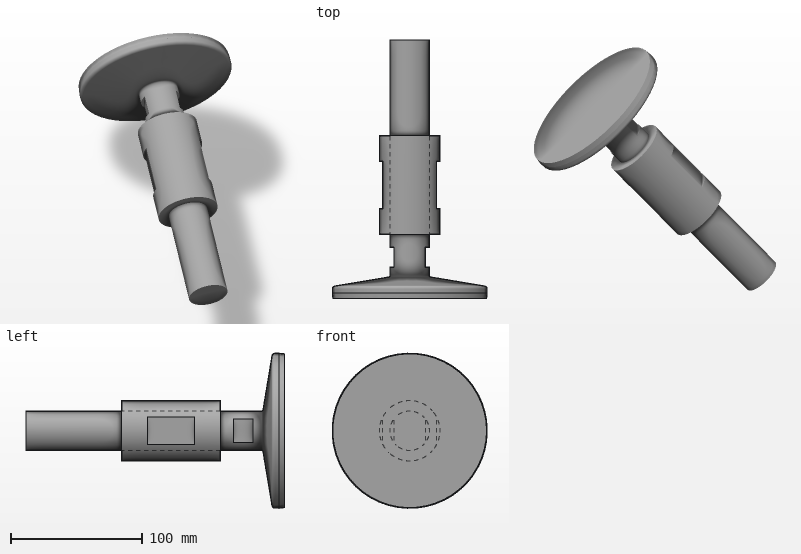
import cadquery as cq
import math

total_height = 197.0

rim_diameter = 117.98
pad_top_diameter = 118.0
pad_bottom_diameter = 117.0
pad_height = 4.2
cone_top_height = 16.7
cone_slope = 1 / 6
shoulder_radius = 2.5
neck_radius = 1.0

spindle_diameter = 30.0
spindle_flat_width = 24.0
spindle_flat_length = 15.0
spindle_flat_start = 24.0

sleeve_diameter = 46.0
sleeve_length = 75.0
sleeve_start = 49.0
sleeve_flat_width = 41.0
sleeve_flat_length = 36.0
sleeve_flat_start = sleeve_start + (sleeve_length - sleeve_flat_length) / 2


def cylinder(diameter, start, length):
    """Cylinder on the Y axis, rising from height start."""
    return (
        cq.Workplane("XZ", origin=(0, start, 0))
        .circle(diameter / 2)
        .extrude(-length)
    )


def cut_wrench_flats(body, diameter, across_flats, start, length):
    """Cut a pair of opposite wrench flats, facing -X and +X."""
    cut_depth = (diameter - across_flats) / 2
    cutter = cq.Workplane("XY").box(2 * cut_depth, length, diameter)
    for side in (-1, 1):
        body = body.cut(cutter.translate((side * diameter / 2, start + length / 2, 0)))
    return body


def make_foot():
    """Conical plate on a tapered pad, with the spindle that runs up through the sleeve."""
    rim_radius = rim_diameter / 2
    spindle_radius = spindle_diameter / 2
    cone_angle = math.atan(cone_slope)
    rim_corner_height = cone_top_height - (rim_radius - spindle_radius) * cone_slope

    half_turn = (math.pi / 2 - cone_angle) / 2
    shoulder_center_radius = rim_radius - shoulder_radius
    shoulder_start_height = rim_corner_height - shoulder_radius * math.tan(half_turn)

    neck_center_radius = spindle_radius + neck_radius
    neck_end_height = cone_top_height + neck_radius * math.tan(half_turn)

    def shoulder_point(angle):
        return (
            shoulder_center_radius + shoulder_radius * math.cos(angle),
            shoulder_start_height + shoulder_radius * math.sin(angle),
        )

    def neck_point(angle):
        return (
            neck_center_radius - neck_radius * math.cos(angle),
            neck_end_height - neck_radius * math.sin(angle),
        )

    turned_foot = (
        cq.Workplane("XY")
        .moveTo(0, 0)
        .lineTo(pad_bottom_diameter / 2, 0)
        .lineTo(pad_top_diameter / 2, pad_height)
        .lineTo(rim_radius, pad_height)
        .lineTo(rim_radius, shoulder_start_height)
        .threePointArc(shoulder_point(half_turn), shoulder_point(2 * half_turn))
        .lineTo(*neck_point(2 * half_turn))
        .threePointArc(neck_point(half_turn), neck_point(0))
        .lineTo(spindle_radius, total_height)
        .lineTo(0, total_height)
        .close()
        .revolve(360, (0, 0, 0), (0, 1, 0))
    )
    return cut_wrench_flats(
        turned_foot, spindle_diameter, spindle_flat_width, spindle_flat_start, spindle_flat_length
    )


def make_sleeve():
    """Sleeve with a bore that fits the spindle."""
    sleeve = cylinder(sleeve_diameter, sleeve_start, sleeve_length)
    sleeve = sleeve.cut(cylinder(spindle_diameter, sleeve_start, sleeve_length))
    return cut_wrench_flats(
        sleeve, sleeve_diameter, sleeve_flat_width, sleeve_flat_start, sleeve_flat_length
    )


foot = make_foot()
sleeve = make_sleeve()
result = cq.Compound.makeCompound([foot.val(), sleeve.val()])